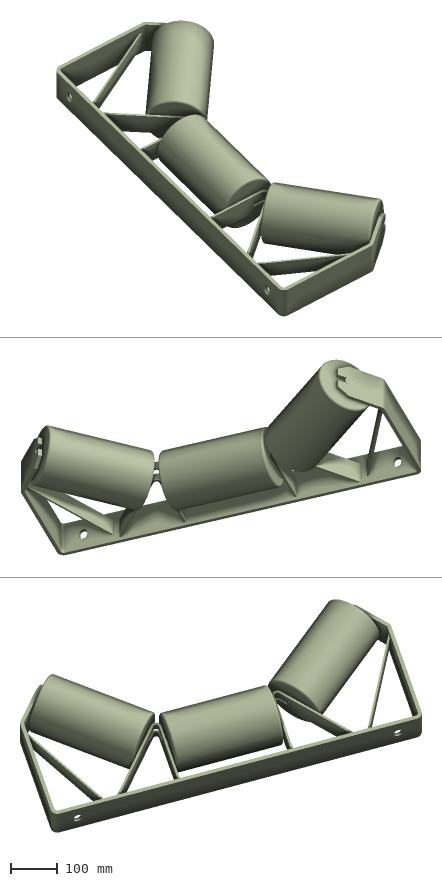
import cadquery as cq
import math

frame_width = 830.0
frame_height = 80.0
frame_thickness = 8.0
frame_bend = 7.0
end_plate_length = 112.0
tip_chamfer_along = 27.0
tip_chamfer_across = 16.0
mount_slot_x = 358.5
mount_slot_width = 18.0
mount_slot_length = 25.0

roller_diameter = 133.0
roller_length = 240.0
roller_rounding = 5.0
shaft_diameter = 20.0
shaft_flat_width = 14.0
roller_gap = 4.0
centre_roller_y = 124.5
centre_roller_z = -7.0
side_roller_x = 259.0
side_roller_y = 220.0
side_roller_z = -3.0
side_angle = 40.0
side_tilt = 1.6

bracket_thickness = 5.0
bracket_height = 50.0
bracket_bend = 6.0
bracket_top_y = 167.0
strut_thickness = 4.0
strut_height = 40.0
strut_wall_y = 224.0
strut_foot_x = 292.0

slope = math.radians(side_angle)
axis_out = cq.Vector(-math.cos(slope), math.sin(slope))
along_plate = cq.Vector(math.sin(slope), math.cos(slope))
side_centre = cq.Vector(-side_roller_x, side_roller_y)
centre_bracket_x = roller_length / 2 + roller_gap + bracket_thickness / 2
wall_x = frame_width / 2 - frame_thickness
cut_room = 2 * frame_width


def folded_strip(points, thickness, height, inside_radius=0.0):
    """Upright plate, centred on Z = 0, folded along a centre line of (x, y) points."""
    line = [cq.Vector(*p) for p in points]
    normals = []
    for a, b in zip(line, line[1:]):
        step = (b - a).normalized()
        normals.append(cq.Vector(-step.y, step.x))
    offsets = []
    for before, after in zip(normals[:1] + normals, normals + normals[-1:]):
        offsets.append((before + after) * (thickness / 2 / (1 + before.dot(after))))
    left = [p + o for p, o in zip(line, offsets)]
    right = [p - o for p, o in zip(line, offsets)]

    outline = [(p.x, p.y) for p in left + right[::-1]]
    strip = cq.Workplane("XY").polyline(outline).close().extrude(height / 2, both=True)
    if inside_radius:
        for i in range(1, len(line) - 1):
            turns_left = normals[i - 1].cross(normals[i]).z > 0
            inner, outer = (left[i], right[i]) if turns_left else (right[i], left[i])
            strip = strip.edges(cq.NearestToPointSelector(inner.toTuple())).fillet(inside_radius)
            strip = strip.edges(cq.NearestToPointSelector(outer.toTuple())).fillet(inside_radius + thickness)
    return strip


def slope_point_at_x(start, x):
    """Point with the given x on the line through start that runs along the sloping plates."""
    return start + along_plate * ((x - start.x) / along_plate.x)


def slope_point_at_y(start, y):
    """Point with the given y on the line through start that runs along the sloping plates."""
    return start + along_plate * ((y - start.y) / along_plate.y)


def mirrored(body):
    """The matching body on the other side of the YZ plane."""
    return body.mirror("YZ")


def place_centre(body):
    """Move a body from the roller axis along X to the level centre position."""
    return body.translate((0, centre_roller_y, centre_roller_z))


def place_left(body):
    """Tilt and swing a body from the roller axis along X to the left roller's position."""
    tilted = body.rotate((0, 0, 0), (0, 1, 0), side_tilt).rotate((0, 0, 0), (0, 0, 1), -side_angle)
    return tilted.translate((side_centre.x, side_centre.y, side_roller_z))


def shaft_end(start, end):
    """Piece of shaft along X with a flat on its upper and lower side."""
    flats = cq.Workplane("XY").box(cut_room, shaft_diameter, shaft_flat_width)
    rod = cq.Workplane("YZ", origin=(start, 0, 0)).circle(shaft_diameter / 2).extrude(end - start)
    return rod.intersect(flats)


def roller(reach_left, reach_right):
    """Drum with rounded rims; the shaft reaches past each face by the given amounts."""
    half = roller_length / 2
    drum = cq.Workplane("YZ", origin=(-half, 0, 0)).circle(roller_diameter / 2).extrude(roller_length)
    drum = drum.faces("<X or >X").edges().fillet(roller_rounding)
    return drum.union(shaft_end(-half - reach_left, half + reach_right))


def shaft_slot(start, end):
    opening = cq.Workplane("XY").box(end - start, roller_diameter, shaft_flat_width)
    opening = opening.translate(((start + end) / 2, roller_diameter / 2, 0))
    return opening.union(shaft_end(start, end))


def make_frame():
    seat = side_centre + axis_out * (roller_length / 2 + roller_gap + frame_thickness / 2)
    back_y = frame_thickness / 2
    wall = frame_width / 2 - frame_thickness / 2
    bend = slope_point_at_x(seat, -wall)
    tip = bend + along_plate * end_plate_length
    half_line = [(tip.x, tip.y), (bend.x, bend.y), (-wall, back_y)]
    line = half_line + [(-x, y) for x, y in half_line[::-1]]
    frame = folded_strip(line, frame_thickness, frame_height, frame_bend)

    half = frame_height / 2
    for side in (1, -1):
        corner = (
            cq.Workplane(cq.Plane((tip.x, tip.y, side * half), along_plate.toTuple(), axis_out.toTuple()))
            .polyline([(0, 0), (-tip_chamfer_along, 0), (0, side * tip_chamfer_across)])
            .close()
            .extrude(frame_thickness, both=True)
        )
        frame = frame.cut(corner).cut(mirrored(corner))

    face = roller_length / 2
    slot = place_left(shaft_slot(-face - roller_gap - 2 * frame_thickness, -face - roller_gap / 2))
    frame = frame.cut(slot).cut(mirrored(slot))

    mounts = (
        cq.Workplane("XZ")
        .pushPoints([(-mount_slot_x, 0), (mount_slot_x, 0)])
        .slot2D(mount_slot_length, mount_slot_width, 90)
        .extrude(2 * frame_thickness, both=True)
    )
    return frame.cut(mounts)


inside_frame = (
    cq.Workplane("XY").box(2 * wall_x, cut_room, cut_room).translate((0, cut_room / 2 + frame_thickness, 0))
)


def make_bracket():
    seat = side_centre - axis_out * (roller_length / 2 + roller_gap + bracket_thickness / 2)
    top_y = bracket_top_y - bracket_thickness / 2
    bend = slope_point_at_y(seat, top_y)
    foot = slope_point_at_y(seat, 0)
    line = [(-centre_bracket_x, 0), (-centre_bracket_x, top_y), (bend.x, bend.y), (foot.x, foot.y)]
    bracket = folded_strip(line, bracket_thickness, bracket_height, bracket_bend)
    bracket = bracket.translate((0, 0, centre_roller_z)).intersect(inside_frame)

    face = roller_length / 2
    side_slot = place_left(shaft_slot(face + roller_gap / 2, face + roller_gap + 2 * bracket_thickness))
    centre_slot = place_centre(shaft_slot(bend.x, -face - roller_gap / 2))
    return bracket.cut(side_slot).cut(centre_slot)


def make_strut():
    wall_end = cq.Vector(-wall_x, strut_wall_y)
    foot = cq.Vector(-strut_foot_x, frame_thickness)
    spare = (foot - wall_end).normalized() * (2 * strut_thickness)
    start = wall_end - spare
    end = foot + spare
    strut = folded_strip([(start.x, start.y), (end.x, end.y)], strut_thickness, strut_height)
    return strut.intersect(inside_frame)


frame = make_frame()
reach_in_bracket = roller_gap + bracket_thickness
reach_in_frame = roller_gap + frame_thickness
centre_roller = place_centre(roller(reach_in_bracket, reach_in_bracket))
left_roller = place_left(roller(reach_in_frame, reach_in_bracket))
bracket = make_bracket()
strut = make_strut()

bodies = [frame.val(), centre_roller.val()]
for left_body in (left_roller, bracket, strut):
    bodies.append(left_body.val())
    bodies.append(mirrored(left_body).val())

result = cq.Compound.makeCompound(bodies)